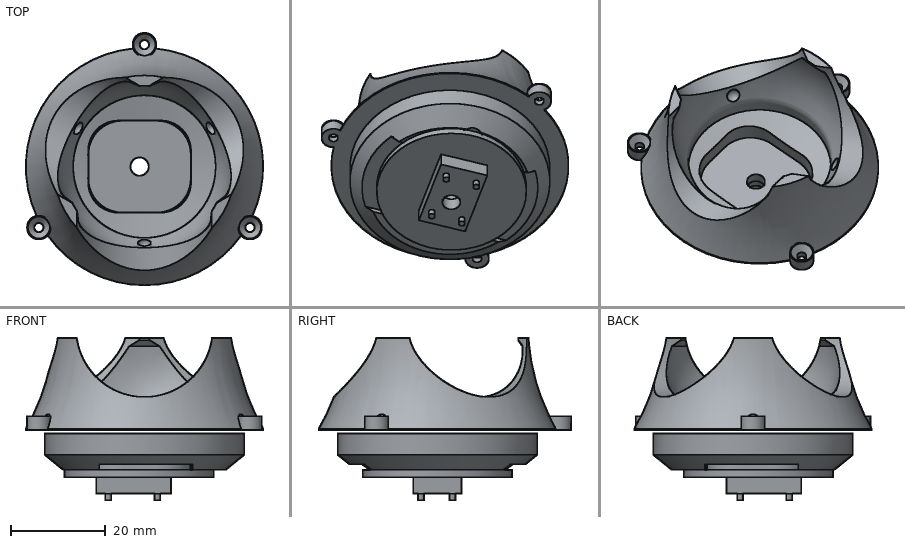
import cadquery as cq
import math


CAP_HEIGHT = 19.4
CAP_RIM_RADIUS = 25.0
CAP_RIM_THICKNESS = 0.3
CAP_TOP_RADIUS = 19.2
CAP_WAIST_RADIUS = 21.85
CAP_WAIST_HEIGHT = 6.9

BALL_CAVITY_RADIUS = 18.5
BALL_CENTRE_Z = 14.1
BORE_RADIUS = 15.0
BORE_FILLET = 2.0
MOUTH_RADIUS = 17.0
MOUTH_DEPTH = 0.5
MOUTH_BEVEL_DEPTH = 1.77

WINDOW_RADIUS = 14.35
WINDOW_AXIS_Z = CAP_HEIGHT + 1.9
WINDOW_ANGLES = (-90, 30, 150)

DIMPLE_RADIUS = 1.37
DIMPLE_CENTRE_RADIUS = 16.1

LUG_ANGLES = (90, 210, 330)
LUG_CENTRE_RADIUS = 25.67
LUG_RADIUS = 2.5
LUG_HEIGHT = 2.9
SCREW_HOLE_DIAMETER = 1.9
SCREW_HEAD_DIAMETER = 4.6
COUNTERSINK_DEPTH = 1.35

BASE_TOP_Z = -0.7
BASE_RADIUS = 42.1 / 2
BASE_HEIGHT = 7.7
BASE_BAND_HEIGHT = 4.5
BASE_BOTTOM_RADIUS = 17.1
BASE_BOTTOM_Z = BASE_TOP_Z - BASE_HEIGHT
DISH_SLOPE_DEGREES = 10.5

SENSOR_X = -1.02
LENS_LENGTH = 21.5
LENS_WIDTH = 19.25
LENS_CORNER_RADIUS = 7.0
LENS_CLEARANCE = 0.1
OPENING_CORNER_RADIUS = 6.5
LENS_TOP_Z = -5.95
LIGHT_HOLE_DIAMETER = 3.8

RELIEF_HEIGHT = 1.15
SIDE_RELIEF_X_MIN = -9.56
SIDE_RELIEF_X_MAX = 10.1
END_RELIEF_RADIUS = 2.5
END_RELIEF_X = -15.0

BOARD_DIAMETER = 31.5
BOARD_THICKNESS = 1.6
BOARD_X = -1.15
BOARD_BOTTOM_Z = BASE_BOTTOM_Z - BOARD_THICKNESS

CHIP_LENGTH = 15.8
CHIP_WIDTH = 10.2
CHIP_HEIGHT = 3.4
CHIP_X = -2.27
CHIP_BOTTOM_Z = BOARD_BOTTOM_Z - CHIP_HEIGHT
PIN_DIAMETER = 1.3
PIN_LENGTH = 1.4
PIN_X = (-7.62, 2.72)
PIN_Y = (-3.47, 3.16)


def cylinder(x, y, z, radius, height):
    return cq.Workplane("XY", origin=(x, y, z)).circle(radius).extrude(height)


def polar(radius, degrees):
    angle = math.radians(degrees)
    return radius * math.cos(angle), radius * math.sin(angle)


def cavity_radius_at(z):
    return math.sqrt(BALL_CAVITY_RADIUS**2 - (z - BALL_CENTRE_Z)**2)


def make_cap_shell():
    """Flared ring around the spherical ball cavity, with a narrowed mouth and a bore below."""
    cavity_bottom_z = BALL_CENTRE_Z - math.sqrt(BALL_CAVITY_RADIUS**2 - BORE_RADIUS**2)
    bevel_z = CAP_HEIGHT - MOUTH_BEVEL_DEPTH
    shell = (
        cq.Workplane("XZ")
        .moveTo(BORE_RADIUS, 0)
        .lineTo(CAP_RIM_RADIUS, 0)
        .lineTo(CAP_RIM_RADIUS, CAP_RIM_THICKNESS)
        .threePointArc((CAP_WAIST_RADIUS, CAP_WAIST_HEIGHT), (CAP_TOP_RADIUS, CAP_HEIGHT))
        .lineTo(MOUTH_RADIUS, CAP_HEIGHT)
        .lineTo(MOUTH_RADIUS, CAP_HEIGHT - MOUTH_DEPTH)
        .lineTo(cavity_radius_at(bevel_z), bevel_z)
        .threePointArc((BALL_CAVITY_RADIUS, BALL_CENTRE_Z), (BORE_RADIUS, cavity_bottom_z))
        .close()
        .revolve(360, (0, 0, 0), (0, 1, 0))
    )
    bore_edges = shell.edges(cq.selectors.RadiusNthSelector(0))
    return bore_edges.edges(">Z").fillet(BORE_FILLET)


def make_window_cutter(degrees):
    """Horizontal cylinder running outward from the Z axis."""
    x, y = polar(1, degrees)
    plane = cq.Plane(origin=(0, 0, WINDOW_AXIS_Z), xDir=(0, 0, 1), normal=(x, y, 0))
    return cq.Workplane(plane).circle(WINDOW_RADIUS).extrude(2 * CAP_RIM_RADIUS)


def make_dimple_cutter(degrees):
    """Ball centred on the lower part of the cavity wall."""
    x, y = polar(DIMPLE_CENTRE_RADIUS, degrees)
    z = BALL_CENTRE_Z - math.sqrt(BALL_CAVITY_RADIUS**2 - DIMPLE_CENTRE_RADIUS**2)
    return cq.Workplane("XY", origin=(x, y, z)).sphere(DIMPLE_RADIUS)


def make_screw_cutter(x, y):
    """Through hole, countersink, and room for the screw head above the lug."""
    hole_radius = SCREW_HOLE_DIAMETER / 2
    head_radius = SCREW_HEAD_DIAMETER / 2
    return (
        cq.Workplane("XZ", origin=(x, y, 0))
        .polyline([
            (0, 0),
            (hole_radius, 0),
            (hole_radius, LUG_HEIGHT - COUNTERSINK_DEPTH),
            (head_radius, LUG_HEIGHT),
            (head_radius, CAP_HEIGHT),
            (0, CAP_HEIGHT),
        ])
        .close()
        .revolve(360, (0, 0, 0), (0, 1, 0))
    )


def make_cap():
    cap = make_cap_shell()
    for degrees in WINDOW_ANGLES:
        cap = cap.cut(make_window_cutter(degrees))
        cap = cap.cut(make_dimple_cutter(degrees))
    lug_centres = [polar(LUG_CENTRE_RADIUS, degrees) for degrees in LUG_ANGLES]
    for x, y in lug_centres:
        cap = cap.union(cylinder(x, y, 0, LUG_RADIUS, LUG_HEIGHT))
        cap = cap.cut(make_screw_cutter(x, y))
    return cap


def make_rounded_block(length, width, corner_radius, top_z):
    """Rounded rectangular block around the sensor axis, standing on the base underside."""
    return (
        cq.Workplane("XY", origin=(SENSOR_X, 0, BASE_BOTTOM_Z))
        .rect(length, width)
        .extrude(top_z - BASE_BOTTOM_Z)
        .edges("|Z")
        .fillet(corner_radius)
    )


def make_box(x_min, x_max, width, bottom_z, height):
    """Box between two X positions, centred on Y = 0."""
    centre = ((x_min + x_max) / 2, 0, bottom_z)
    return cq.Workplane("XY", origin=centre).rect(x_max - x_min, width).extrude(height)


def make_base():
    """Round tray with a shallow conical dish, a lens opening and reliefs along its underside."""
    dish_depth = BASE_RADIUS * math.tan(math.radians(DISH_SLOPE_DEGREES))
    base = (
        cq.Workplane("XZ")
        .polyline([
            (0, BASE_BOTTOM_Z),
            (BASE_BOTTOM_RADIUS, BASE_BOTTOM_Z),
            (BASE_RADIUS, BASE_TOP_Z - BASE_BAND_HEIGHT),
            (BASE_RADIUS, BASE_TOP_Z),
            (0, BASE_TOP_Z - dish_depth),
        ])
        .close()
        .revolve(360, (0, 0, 0), (0, 1, 0))
    )
    side_relief = make_box(
        SIDE_RELIEF_X_MIN, SIDE_RELIEF_X_MAX, 2 * BASE_RADIUS, BASE_BOTTOM_Z, RELIEF_HEIGHT
    )
    end_slot = make_box(END_RELIEF_X, SENSOR_X, 2 * END_RELIEF_RADIUS, BASE_BOTTOM_Z, RELIEF_HEIGHT)
    end_round = cylinder(END_RELIEF_X, 0, BASE_BOTTOM_Z, END_RELIEF_RADIUS, RELIEF_HEIGHT)
    opening = make_rounded_block(
        LENS_LENGTH + 2 * LENS_CLEARANCE,
        LENS_WIDTH + 2 * LENS_CLEARANCE,
        OPENING_CORNER_RADIUS,
        BASE_TOP_Z,
    )
    return base.cut(opening).cut(side_relief).cut(end_slot).cut(end_round)


def drill_light_hole(body):
    return body.cut(cylinder(SENSOR_X, 0, CHIP_BOTTOM_Z, LIGHT_HOLE_DIAMETER / 2, -CHIP_BOTTOM_Z))


def make_lens():
    lens = make_rounded_block(LENS_LENGTH, LENS_WIDTH, LENS_CORNER_RADIUS, LENS_TOP_Z)
    return drill_light_hole(lens)


def make_board():
    board = cylinder(BOARD_X, 0, BOARD_BOTTOM_Z, BOARD_DIAMETER / 2, BOARD_THICKNESS)
    return drill_light_hole(board)


def make_chip():
    """Rectangular block under the board with four round pins."""
    chip_x_min = CHIP_X - CHIP_LENGTH / 2
    chip_x_max = CHIP_X + CHIP_LENGTH / 2
    chip = make_box(chip_x_min, chip_x_max, CHIP_WIDTH, CHIP_BOTTOM_Z, CHIP_HEIGHT)
    for x in PIN_X:
        for y in PIN_Y:
            chip = chip.union(cylinder(x, y, CHIP_BOTTOM_Z - PIN_LENGTH, PIN_DIAMETER / 2, PIN_LENGTH))
    return drill_light_hole(chip)


cap = make_cap()
base = make_base()
lens = make_lens()
board = make_board()
chip = make_chip()

result = cq.Compound.makeCompound([cap.val(), base.val(), lens.val(), board.val(), chip.val()])